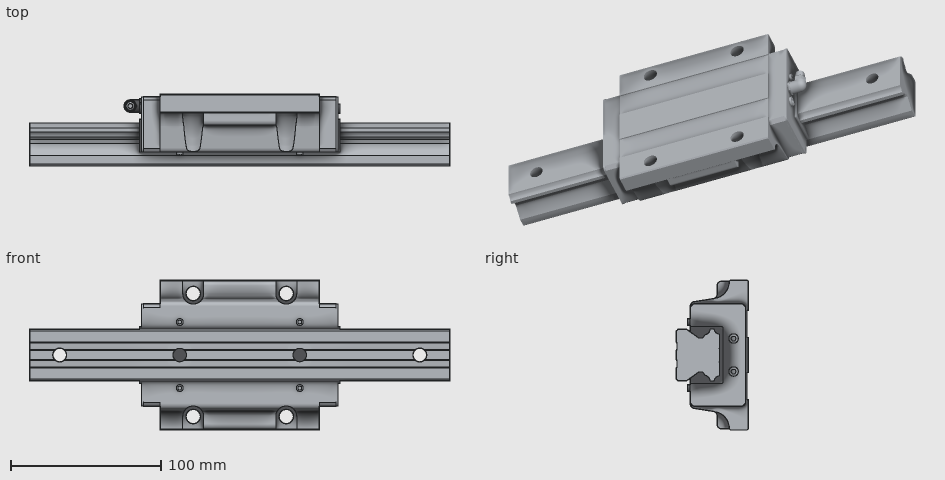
import cadquery as cq


assembly_height = 48.0

rail_length = 280.0
rail_height = 28.7
rail_half_width = 17.2
rail_hole_pitch = 80.0
rail_hole_count = 4
rail_hole_diameter = 9.0

carriage_half_width = 50.0
block_length = 106.0
carriage_bottom = 9.3

cap_length = 11.2
cap_half_width = 34.2
cap_top = 46.3
cap_corner = 2.4
plate_thickness = 1.3
plate_inset = 0.15
plate_corner = 2.7
seal_thickness = 1.4
seal_half_width = 18.9
seal_top = 31.2
seal_corner = 1.0

plate_face = block_length / 2 + cap_length + plate_thickness
cap_face = plate_face - plate_thickness

rail_foot_chamfer = 1.2
rail_side_top = 7.0
rail_waist_half_width = 11.3
rail_waist_bottom = 15.0
rail_waist_top = 17.6
rail_lip_bottom = 22.7
rail_lip_top = 25.2
rail_top_half_width = 13.8
lower_groove_start = (19.3, 13.5)
lower_groove_mid = (21.4, 14.7)
upper_groove_mid = (26.6, 14.8)
foot_groove_inner = 3.0
foot_groove_outer = 8.7
foot_groove_depth = 0.5
foot_groove_slope = 0.8

flange_edge_chamfer = 0.8
flange_lower_face = 36.0
mounting_groove_inner = 11.8
mounting_groove_outer = 29.8
mounting_groove_depth = 0.8
hollow_end = (26.4, 37.9)
hollow_mid = (32.3, 41.2)
wall_foot = (11.8, 35.6)
bottom_half_width = 32.4
bottom_corner_mid = (10.1, 34.6)

rib_face = 27.2
rib_side = carriage_half_width - flange_edge_chamfer
rib_edge_radius = 3.0
rib_root_start = 40.8
rib_root_mid = (26.5, 38.6)
rib_root_end = (24.5, 37.6)

bolt_spacing_x = 62.0
bolt_spacing_z = 82.0
bolt_hole_diameter = 9.4
bolt_seat_diameter = 14.0
bolt_seat_level = 35.4

bottom_screw_spacing_x = 80.0
bottom_screw_spacing_z = 44.0
bottom_screw_diameter = 4.6
bottom_screw_height = 1.8
bottom_screw_socket = 2.5
end_screw_level = 38.2
end_screw_spacing = 22.0
end_screw_diameter = 6.3
end_screw_height = 1.4
end_screw_socket = 3.0
socket_depth = 1.0

nipple_level = 40.0
nipple_base_corners = 9.7
nipple_base_thickness = 1.4
nipple_arm_x = -72.9
nipple_radius = 4.2
nipple_collar_corners = 8.8
nipple_collar_start = 2.4
nipple_collar_end = 5.9
nipple_neck_radius = 2.8
nipple_shoulder_radius = 3.3
nipple_shoulder_start = 7.0
nipple_shoulder_end = 9.4
nipple_head_radius = 2.9
nipple_tip_radius = 1.6
nipple_head_end = 11.4
nipple_tip = 12.5


def rail_profile(length):
    """Rail cross-section with its foot grooves, extruded over a length centred on X = 0."""
    half = (
        cq.Workplane("YZ", origin=(-length / 2, 0, 0))
        .moveTo(0, 0)
        .lineTo(0, foot_groove_inner)
        .lineTo(foot_groove_depth, foot_groove_inner + foot_groove_slope)
        .lineTo(foot_groove_depth, foot_groove_outer - foot_groove_slope)
        .lineTo(0, foot_groove_outer)
        .lineTo(0, rail_half_width - rail_foot_chamfer)
        .lineTo(rail_foot_chamfer, rail_half_width)
        .lineTo(rail_side_top, rail_half_width)
        .lineTo(rail_waist_bottom, rail_waist_half_width)
        .lineTo(rail_waist_top, rail_waist_half_width)
        .lineTo(*lower_groove_start)
        .threePointArc(lower_groove_mid, (rail_lip_bottom, rail_half_width))
        .lineTo(rail_lip_top, rail_half_width)
        .threePointArc(upper_groove_mid, (rail_height, rail_top_half_width))
        .lineTo(rail_height, 0)
        .close()
        .extrude(length)
    )
    return half.union(half.mirror("XY")).clean()


def make_rail():
    holes = (
        cq.Workplane("XZ")
        .rarray(rail_hole_pitch, 1, rail_hole_count, 1)
        .circle(rail_hole_diameter / 2)
        .extrude(-rail_height)
    )
    return rail_profile(rail_length).cut(holes)


def make_block():
    """Steel block with its two flanges, hollowed underneath."""
    top = assembly_height
    groove_floor = top - mounting_groove_depth
    half = (
        cq.Workplane("YZ", origin=(-block_length / 2, 0, 0))
        .moveTo(carriage_bottom, 0)
        .lineTo(carriage_bottom, bottom_half_width)
        .threePointArc(bottom_corner_mid, wall_foot)
        .lineTo(*hollow_end)
        .threePointArc(hollow_mid, (flange_lower_face - flange_edge_chamfer, rib_side))
        .lineTo(flange_lower_face, carriage_half_width)
        .lineTo(top - flange_edge_chamfer, carriage_half_width)
        .lineTo(top, carriage_half_width - flange_edge_chamfer)
        .lineTo(top, mounting_groove_outer)
        .lineTo(groove_floor, mounting_groove_outer)
        .lineTo(groove_floor, mounting_groove_inner)
        .lineTo(top, mounting_groove_inner)
        .lineTo(top, 0)
        .close()
        .extrude(block_length)
    )
    return half.union(half.mirror("XY")).clean()


def make_rib():
    """Thickened middle of the +Z flange, between its two bolt holes."""
    arc_inset = rib_edge_radius * (1 - 0.5**0.5)
    return (
        cq.Workplane("YZ", origin=(-bolt_spacing_x / 2, 0, 0))
        .moveTo(flange_lower_face, rib_side)
        .lineTo(rib_face + rib_edge_radius, rib_side)
        .threePointArc(
            (rib_face + arc_inset, rib_side - arc_inset),
            (rib_face, rib_side - rib_edge_radius),
        )
        .lineTo(rib_face, rib_root_start)
        .threePointArc(rib_root_mid, rib_root_end)
        .lineTo(flange_lower_face, rib_root_end[1] - 1)
        .close()
        .extrude(bolt_spacing_x)
    )


def bolt_seats():
    """Round-ended slots that open to the flange edge and give each bolt a flat seat."""
    depth = bolt_seat_level - carriage_bottom
    edge_overrun = carriage_half_width - bolt_spacing_z / 2
    seats = cq.Workplane("XZ", origin=(0, bolt_seat_level, 0))
    round_ends = (
        seats.rarray(bolt_spacing_x, bolt_spacing_z, 2, 2)
        .circle(bolt_seat_diameter / 2)
        .extrude(depth)
    )
    open_ends = (
        seats.rarray(bolt_spacing_x, bolt_spacing_z + edge_overrun, 2, 2)
        .rect(bolt_seat_diameter, edge_overrun)
        .extrude(depth)
    )
    return round_ends.union(open_ends)


def bolt_holes():
    return (
        cq.Workplane("XZ")
        .rarray(bolt_spacing_x, bolt_spacing_z, 2, 2)
        .circle(bolt_hole_diameter / 2)
        .extrude(-assembly_height)
    )


def x_bar(half_length, bottom, top, half_width):
    """Rectangular bar centred on X = 0 and Z = 0."""
    return (
        cq.Workplane("XY")
        .box(2 * half_length, top - bottom, 2 * half_width)
        .translate((0, (top + bottom) / 2, 0))
    )


def make_end_parts():
    """Chamfered end caps, rounded end plates and the seals around the rail."""
    caps = x_bar(cap_face, carriage_bottom, cap_top, cap_half_width).edges("|X").chamfer(cap_corner)
    plates = (
        x_bar(plate_face, carriage_bottom, cap_top - plate_inset, cap_half_width - plate_inset)
        .edges("|X")
        .fillet(plate_corner)
    )
    seals = (
        x_bar(plate_face + seal_thickness, carriage_bottom, seal_top, seal_half_width)
        .edges("|X and >Y")
        .fillet(seal_corner)
    )
    middle = x_bar(block_length / 2, 0, assembly_height, carriage_half_width)
    core = x_bar(cap_face, 0, assembly_height, carriage_half_width)
    return caps.union(plates.cut(core)).union(seals).cut(middle)


def socket_screw(diameter, height, socket):
    """Screw head standing on the XY plane, with a hexagonal socket."""
    head = cq.Workplane("XY").circle(diameter / 2).extrude(height)
    recess = (
        cq.Workplane("XY", origin=(0, 0, height - socket_depth))
        .polygon(6, socket, circumscribed=True)
        .extrude(socket_depth)
    )
    return head.cut(recess)


def make_screws():
    bottom_screw = socket_screw(bottom_screw_diameter, bottom_screw_height, bottom_screw_socket)
    bottom_screw = bottom_screw.rotate((0, 0, 0), (1, 0, 0), 90)
    end_screw = socket_screw(end_screw_diameter, end_screw_height, end_screw_socket)
    screws = cq.Workplane("XY")
    for side_x in (-1, 1):
        turned_screw = end_screw.rotate((0, 0, 0), (0, 1, 0), 90 * side_x)
        for side_z in (-1, 1):
            bottom_place = (
                side_x * bottom_screw_spacing_x / 2,
                carriage_bottom,
                side_z * bottom_screw_spacing_z / 2,
            )
            end_place = (side_x * plate_face, end_screw_level, side_z * end_screw_spacing / 2)
            screws = screws.add(bottom_screw.translate(bottom_place))
            screws = screws.add(turned_screw.translate(end_place))
    return screws.vals()


def make_carriage():
    rib = make_rib()
    body = make_block().union(rib).union(rib.mirror("XY"))
    body = body.cut(bolt_seats()).cut(bolt_holes())
    body = body.union(make_end_parts())
    for screw in make_screws():
        body = body.union(cq.Workplane(screw))
    return body.cut(rail_profile(rail_length))


def make_nipple():
    """Elbow nipple: hexagonal base on the end plate, ball-shaped corner and an arm along +Z."""
    base = (
        cq.Workplane("YZ", origin=(-plate_face, nipple_level, 0))
        .polygon(6, nipple_base_corners)
        .extrude(-nipple_base_thickness)
    )
    inlet = (
        cq.Workplane("YZ", origin=(-plate_face, nipple_level, 0))
        .circle(nipple_radius)
        .extrude(nipple_arm_x + plate_face)
    )
    corner = cq.Workplane("XY").sphere(nipple_radius)
    collar = (
        cq.Workplane("XY", origin=(0, 0, nipple_collar_start))
        .polygon(6, nipple_collar_corners)
        .extrude(nipple_collar_end - nipple_collar_start)
    )
    turned_arm = (
        cq.Workplane("XZ")
        .moveTo(0, 0)
        .lineTo(nipple_radius, 0)
        .lineTo(nipple_radius, nipple_collar_start)
        .lineTo(nipple_neck_radius, nipple_collar_start)
        .lineTo(nipple_neck_radius, nipple_shoulder_start)
        .lineTo(nipple_shoulder_radius, nipple_shoulder_start)
        .lineTo(nipple_shoulder_radius, nipple_shoulder_end)
        .lineTo(nipple_head_radius, nipple_shoulder_end)
        .lineTo(nipple_head_radius, nipple_head_end)
        .lineTo(nipple_tip_radius, nipple_tip)
        .lineTo(0, nipple_tip)
        .close()
        .revolve(360, (0, 0, 0), (0, 1, 0))
    )
    arm = corner.union(collar).union(turned_arm).translate((nipple_arm_x, nipple_level, 0))
    return base.union(inlet).union(arm)


rail = make_rail()
carriage = make_carriage()
nipple = make_nipple()

result = cq.Compound.makeCompound([rail.val(), carriage.val(), nipple.val()])